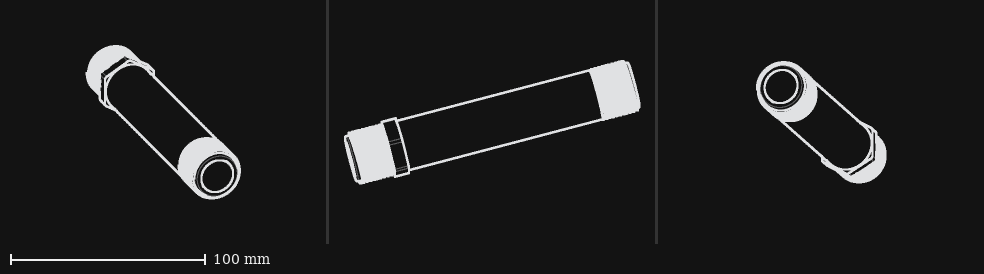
import cadquery as cq
import math

length = 150.7
bore_diameter = 17.6
body_diameter = 26.2

thread_length = 20.0
root_diameter = 24.3
crest_diameter = 26.8
pitch = 1.8
ridge_base = 1.2
ridge_crest = 0.6
ridge_overlap = 0.3
end_rounding = 1.0
thread_turns = 10
thread_end_gap = pitch

hex_across_flats = 27.0
hex_width = 7.5
hex_corner_radius = 1.8


def cylinder(start, end, diameter):
    """Solid cylinder along X between two positions."""
    return cq.Workplane("YZ", origin=(start, 0, 0)).circle(diameter / 2).extrude(end - start)


def make_collar():
    """Hexagon with rounded corners, two of them pointing along Z."""
    across_corners = hex_across_flats * 2 / math.sqrt(3)
    return (
        cq.Workplane("YZ", origin=(thread_length, 0, 0))
        .transformed(rotate=(0, 0, 90))
        .polygon(6, across_corners)
        .extrude(hex_width)
        .edges("|X")
        .fillet(hex_corner_radius)
    )


def make_thread(start):
    """Right-hand helical ridge along X, starting on the -Y side."""
    root_radius = root_diameter / 2
    inner_radius = root_radius - ridge_overlap
    crest_radius = crest_diameter / 2
    helix = cq.Wire.makeHelix(pitch, pitch * thread_turns, root_radius)
    ridge = (
        cq.Workplane("XZ")
        .polyline([
            (inner_radius, -ridge_base / 2),
            (crest_radius, -ridge_crest / 2),
            (crest_radius, ridge_crest / 2),
            (inner_radius, ridge_base / 2),
        ])
        .close()
        .sweep(cq.Workplane(helix), isFrenet=True)
    )
    along_x = ridge.rotate((0, 0, 0), (0, 1, 0), 90)
    return along_x.rotate((0, 0, 0), (1, 0, 0), -90).translate((start, 0, 0))


core = cylinder(0, length, root_diameter).edges("<X or >X").fillet(end_rounding)
body = cylinder(thread_length, length - thread_length, body_diameter)

result = (
    core.union(body)
    .union(make_collar())
    .union(make_thread(thread_end_gap))
    .union(make_thread(length - thread_end_gap - pitch * thread_turns))
    .cut(cylinder(0, length, bore_diameter))
)